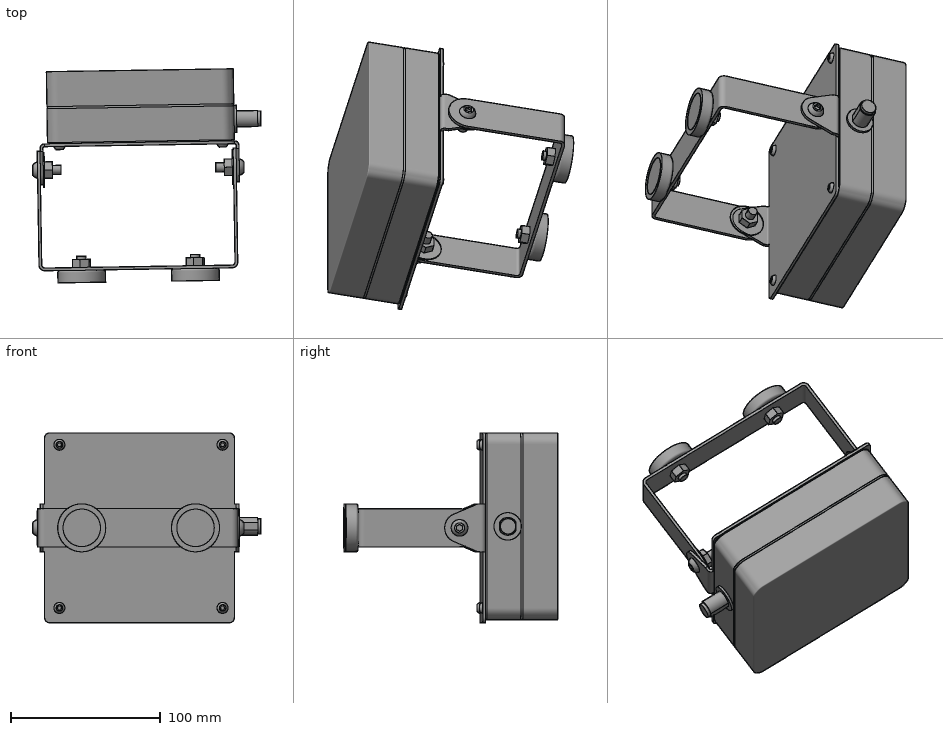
import cadquery as cq
import math

TURN = 0.9

SHEET = 2.0
PLATE = 127.0
PLATE_CORNER = 3.7
TAB_SPAN = 132.9
TAB_WIDTH = 32.0
TAB_BEND = 2.9
TAB_SHOULDER = 3.2
TAB_END_RADIUS = 9.9

PIVOT_Y = -15.5
BRACKET_WIDTH = 25.6
BRACKET_BEND = 4.0
BRACKET_FRONT_Y = -82.8
BRACKET_X = -SHEET

BOX = 125.0
BOX_DEPTH = 48.2
BOX_CORNER = 7.6
BOX_CORNER_CHAMFER = 5.0
BOX_BACK_ROUND = 0.6
SEAM_WIDTH = 1.4
BASE_GROOVE_WIDTH = 0.8
GROOVE_DEPTH = 0.3
BOX_SHIFT = (PLATE - BOX) / 2

COVER_SCREW_PITCH = 109.0
COVER_HEAD_DIAMETER = 7.3
COVER_HEAD_HEIGHT = 2.1
COVER_SOCKET = 2.6

BOLT_DIAMETER = 6.3
BOLT_LENGTH = 15.9
BOLT_HEAD_DIAMETER = 11.1
BOLT_HEAD_HEIGHT = 3.2
BOLT_SOCKET = 4.0
NUT_FLATS = 11.1
NUT_HEIGHT = 5.3
WASHER_DIAMETER = 23.5
WASHER_THICKNESS = 0.8
HEAD_CROWN_RATIO = 0.6
SOCKET_DEPTH_RATIO = 0.6

MAGNET_PITCH = 76.0
MAGNET_DIAMETER = 32.0
MAGNET_HEIGHT = 8.2
MAGNET_ROUND = 1.5
MAGNET_FACE_DIAMETER = 25.0
MAGNET_FACE_RECESS = 0.3
MAGNET_NUT_TURN = 20.0
STUD_PROJECTION = 2.1

CONNECTOR_Y = 16.6
FLANGE_DIAMETER = 18.3
FLANGE_THICKNESS = 1.7
CONNECTOR_DIAMETER = 11.9
CONNECTOR_FLATS = 10.8
CONNECTOR_LENGTH = 14.0
TIP_DIAMETER = 10.2
TIP_LENGTH = 2.1


def facing(x, y, z, normal, across=(1, 0, 0)):
    """Workplane at a point, looking out along normal."""
    return cq.Workplane(cq.Plane((x, y, z), across, normal))


def hexagon(plane, flats, height, turn=0):
    """Hexagonal prism, a corner on the plane's X axis before turning."""
    corners = flats / math.cos(math.pi / 6)
    return plane.transformed(rotate=(0, 0, turn)).polygon(6, corners).extrude(height)


def button_head(plane, diameter, height, socket):
    """Domed screw head with a hexagonal socket."""
    rim = diameter / 2
    crown = rim * HEAD_CROWN_RATIO
    centre = (height**2 + crown**2 - rim**2) / (2 * height)
    sphere_radius = math.hypot(rim, centre)
    middle = height / 2
    middle_radius = math.sqrt(sphere_radius**2 - (middle - centre) ** 2)
    base = plane.plane
    profile = cq.Workplane(cq.Plane(base.origin, base.xDir, -base.yDir))
    head = (
        profile.moveTo(0, 0)
        .lineTo(rim, 0)
        .threePointArc((middle_radius, middle), (crown, height))
        .lineTo(0, height)
        .close()
        .revolve(360, (0, 0, 0), (0, 1, 0))
    )
    depth = height * SOCKET_DEPTH_RATIO
    return head.cut(hexagon(plane.workplane(offset=height), socket, -depth))


def bent_strip(span, back_y, front_y, bend, width):
    """U-shaped strip: web along front_y, two legs reaching back_y, given by its outer faces."""
    depth = back_y - front_y
    middle_y = (back_y + front_y) / 2
    outer = (
        cq.Workplane("XY").box(span, depth, width).translate((0, middle_y, 0))
        .edges("|Z and <Y").fillet(bend)
    )
    inner = (
        cq.Workplane("XY").box(span - 2 * SHEET, depth, width).translate((0, middle_y + SHEET, 0))
        .edges("|Z and <Y").fillet(bend - SHEET)
    )
    return outer.cut(inner)


def cover_plate():
    """Square plate whose back continues into the web of the two tabs."""
    plate = (
        cq.Workplane("XZ").rect(PLATE, PLATE).extrude(-SHEET)
        .edges("|Y").fillet(PLATE_CORNER)
    )
    tip_y = PIVOT_Y - TAB_END_RADIUS
    strip = bent_strip(TAB_SPAN, -tip_y, -SHEET, TAB_BEND, TAB_WIDTH).mirror("XZ")

    half = TAB_WIDTH / 2
    shoulder_reach = -TAB_SHOULDER - PIVOT_Y
    corner_distance = math.hypot(shoulder_reach, half)
    tangent_angle = (
        math.atan2(shoulder_reach, half)
        - math.acos(TAB_END_RADIUS / corner_distance)
    )
    tangent_y = PIVOT_Y + TAB_END_RADIUS * math.sin(tangent_angle)
    tangent_z = TAB_END_RADIUS * math.cos(tangent_angle)
    outline = (
        cq.Workplane("YZ")
        .moveTo(SHEET, -half)
        .lineTo(SHEET, half)
        .lineTo(-TAB_SHOULDER, half)
        .lineTo(tangent_y, tangent_z)
        .threePointArc((tip_y, 0), (tangent_y, -tangent_z))
        .lineTo(-TAB_SHOULDER, -half)
        .close()
        .extrude(TAB_SPAN / 2, both=True)
    )
    return plate.union(strip.intersect(outline))


def u_bracket():
    """U bracket with rounded leg ends about the pivot."""
    end_radius = BRACKET_WIDTH / 2
    strip = bent_strip(
        TAB_SPAN, PIVOT_Y + end_radius, BRACKET_FRONT_Y, BRACKET_BEND, BRACKET_WIDTH
    )
    outline = (
        cq.Workplane("YZ")
        .moveTo(BRACKET_FRONT_Y, -end_radius)
        .lineTo(PIVOT_Y, -end_radius)
        .threePointArc((PIVOT_Y + end_radius, 0), (PIVOT_Y, end_radius))
        .lineTo(BRACKET_FRONT_Y, end_radius)
        .close()
        .extrude(TAB_SPAN / 2, both=True)
    )
    return strip.intersect(outline).translate((BRACKET_X, 0, 0))


def enclosure():
    """Box with shallow grooves at its mid-depth seam and against the plate."""
    corner_round = (BOX_CORNER - BOX_CORNER_CHAMFER) / math.tan(math.pi / 8)

    def slab(y, size, depth):
        return (
            facing(BOX_SHIFT, y, BOX_SHIFT, (0, 1, 0)).rect(size, size).extrude(depth)
            .edges("|Y").chamfer(BOX_CORNER_CHAMFER)
            .edges("|Y").fillet(corner_round)
        )

    body = slab(SHEET, BOX, BOX_DEPTH).faces(">Y").edges().fillet(BOX_BACK_ROUND)
    seam_y = SHEET + (BOX_DEPTH - SEAM_WIDTH) / 2
    for groove_y, width in ((SHEET, BASE_GROOVE_WIDTH), (seam_y, SEAM_WIDTH)):
        ring = slab(groove_y, BOX, width).cut(slab(groove_y, BOX - 2 * GROOVE_DEPTH, width))
        body = body.cut(ring)
    return body


def cover_screws():
    heads = cq.Workplane("XY")
    for x_side in (-1, 1):
        for z_side in (-1, 1):
            x = BOX_SHIFT + x_side * COVER_SCREW_PITCH / 2
            z = BOX_SHIFT + z_side * COVER_SCREW_PITCH / 2
            heads = heads.union(
                button_head(
                    facing(x, 0, z, (0, -1, 0)),
                    COVER_HEAD_DIAMETER, COVER_HEAD_HEIGHT, COVER_SOCKET,
                )
            )
    return heads


def hinge_bolt(side, head_x):
    """Bolt, washer and nut clamping a tab and a leg; head_x is the outer face under the head."""
    def at(x, direction):
        return facing(side * x, PIVOT_Y, 0, (direction * side, 0, 0), (0, 0, 1))

    inner_x = head_x - 2 * SHEET
    nut_x = inner_x - WASHER_THICKNESS
    head = button_head(at(head_x, 1), BOLT_HEAD_DIAMETER, BOLT_HEAD_HEIGHT, BOLT_SOCKET)
    shank = at(head_x, -1).circle(BOLT_DIAMETER / 2).extrude(BOLT_LENGTH)
    washer = at(inner_x, -1).circle(WASHER_DIAMETER / 2).extrude(WASHER_THICKNESS)
    nut = hexagon(at(nut_x, -1), NUT_FLATS, NUT_HEIGHT)
    return head.union(shank).union(washer).union(nut)


def magnet(x):
    """Round magnet under the bracket web, held by a stud and nut."""
    body = (
        facing(x, BRACKET_FRONT_Y, 0, (0, -1, 0)).circle(MAGNET_DIAMETER / 2).extrude(MAGNET_HEIGHT)
        .edges(">Y").fillet(MAGNET_ROUND)
    )
    recess = (
        facing(x, BRACKET_FRONT_Y - MAGNET_HEIGHT, 0, (0, 1, 0))
        .circle(MAGNET_FACE_DIAMETER / 2).extrude(MAGNET_FACE_RECESS)
    )
    web = facing(x, BRACKET_FRONT_Y + SHEET, 0, (0, 1, 0))
    nut = hexagon(web, NUT_FLATS, NUT_HEIGHT, MAGNET_NUT_TURN)
    stud = web.circle(BOLT_DIAMETER / 2).extrude(NUT_HEIGHT + STUD_PROJECTION)
    return body.cut(recess).union(nut).union(stud)


def connector():
    """Flanged round connector with two wrench flats and a smaller tip."""
    flange = (
        facing(BOX_SHIFT + BOX / 2, CONNECTOR_Y, BOX_SHIFT, (1, 0, 0), (0, 1, 0))
        .circle(FLANGE_DIAMETER / 2).extrude(FLANGE_THICKNESS)
    )
    start = flange.faces(">X").workplane()
    body = start.circle(CONNECTOR_DIAMETER / 2).extrude(CONNECTOR_LENGTH, combine=False)
    flats = start.rect(CONNECTOR_FLATS, CONNECTOR_DIAMETER).extrude(CONNECTOR_LENGTH, combine=False)
    body = body.intersect(flats)
    tip = body.faces(">X").workplane().circle(TIP_DIAMETER / 2).extrude(TIP_LENGTH, combine=False)
    return flange.union(body).union(tip)


parts = [
    u_bracket(),
    enclosure(),
    cover_screws(),
    hinge_bolt(-1, TAB_SPAN / 2 - BRACKET_X),
    hinge_bolt(1, TAB_SPAN / 2),
    magnet(BRACKET_X - MAGNET_PITCH / 2),
    magnet(BRACKET_X + MAGNET_PITCH / 2),
    connector(),
]
assembly = cover_plate()
for part in parts:
    assembly = assembly.union(part)

result = assembly.rotate((0, 0, 0), (0, 0, 1), TURN)